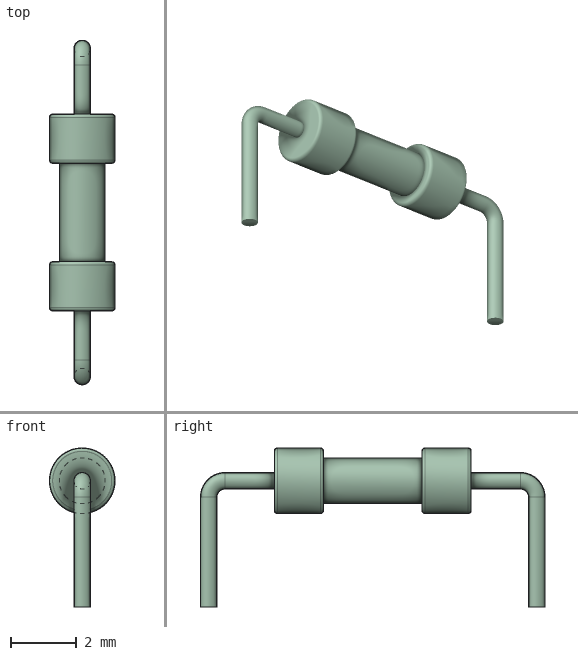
import cadquery as cq

body_length = 6.0
cap_length = 1.5
cap_diameter = 2.0
core_diameter = 1.4
cap_edge_radius = 0.1
lead_diameter = 0.5
lead_pitch = 10.0
bend_radius = 0.5
lead_drop = 3.85

body_end = body_length / 2
cap_center = body_end - cap_length / 2
lead_reach = lead_pitch / 2
core_length = body_length - 2 * cap_length


def cylinder_along_y(diameter, length, center_y):
    """Cylinder on the body axis, centered at center_y."""
    return (
        cq.Workplane("XZ", origin=(0, center_y + length / 2, 0))
        .circle(diameter / 2)
        .extrude(length)
    )


def make_resistor_body():
    """Slim core with a wider, round-edged cap at each end."""
    body = cylinder_along_y(core_diameter, core_length, 0)
    for side in (-1, 1):
        cap = cylinder_along_y(cap_diameter, cap_length, side * cap_center)
        body = body.union(cap.edges("%CIRCLE").fillet(cap_edge_radius))
    return body


def make_lead(side):
    """Round wire that leaves the cap face on one side and bends straight down."""
    bend_start = side * (lead_reach - bend_radius)
    lead_path = (
        cq.Workplane("YZ")
        .moveTo(side * body_end, 0)
        .lineTo(bend_start, 0)
        .tangentArcPoint((side * lead_reach, -bend_radius), relative=False)
        .lineTo(side * lead_reach, -lead_drop)
    )
    wire_section = cq.Workplane("XZ", origin=(0, side * body_end, 0)).circle(lead_diameter / 2)
    return wire_section.sweep(lead_path)


resistor_body = make_resistor_body()
leads = [make_lead(side) for side in (-1, 1)]

result = cq.Compound.makeCompound([resistor_body.val(), *[lead.val() for lead in leads]])